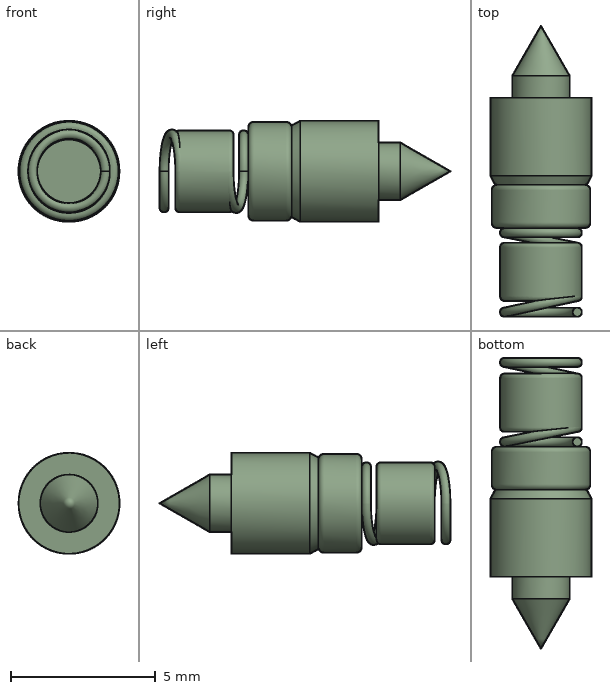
import cadquery as cq

OVERALL_LENGTH = 10.06

PILOT_RADIUS = 1.0
CONE_LENGTH = 1.73
SHANK_RADIUS = 1.75
SHANK_FRONT_Y = 7.58
SHANK_CHAMFER_Y = 4.87
SHANK_CHAMFER_END_RADIUS = 1.59

COLLAR_RADIUS = 1.71
COLLAR_FRONT_Y = 4.57
COLLAR_REAR_Y = 3.07
COLLAR_FILLET = 0.19

WIRE_RADIUS = 0.16
COIL_RADIUS = 1.26
SLEEVE_REAR_Y = 0.54
SLEEVE_FRONT_Y = 2.57
REAR_RING_Y = WIRE_RADIUS
FRONT_RING_Y = COLLAR_REAR_Y - WIRE_RADIUS
SLEEVE_REAR_CENTRE_Y = SLEEVE_REAR_Y + WIRE_RADIUS
SLEEVE_FRONT_CENTRE_Y = SLEEVE_FRONT_Y - WIRE_RADIUS


def revolve_about_y(profile):
    return profile.revolve(360, (0, 0), (0, 1))


def make_point():
    cone_base_y = OVERALL_LENGTH - CONE_LENGTH
    outline = [
        (0, COLLAR_FRONT_Y),
        (SHANK_CHAMFER_END_RADIUS, COLLAR_FRONT_Y),
        (SHANK_RADIUS, SHANK_CHAMFER_Y),
        (SHANK_RADIUS, SHANK_FRONT_Y),
        (PILOT_RADIUS, SHANK_FRONT_Y),
        (PILOT_RADIUS, cone_base_y),
        (0, OVERALL_LENGTH),
    ]
    return revolve_about_y(cq.Workplane("XY").polyline(outline).close())


def make_collar():
    length = COLLAR_FRONT_Y - COLLAR_REAR_Y
    blank = cq.Workplane("XZ", origin=(0, COLLAR_FRONT_Y, 0)).circle(COLLAR_RADIUS).extrude(length)
    return blank.edges("%CIRCLE").fillet(COLLAR_FILLET)


def make_half_coil(left_y, right_y, side):
    """Half-circle of wire between -X (left) and +X (right), on the +Z (1) or -Z (-1) side.

    Unequal left_y and right_y lean the coil.
    """
    rise = right_y - left_y
    middle = (-COIL_RADIUS, -rise / 2)
    axis_end = (middle[0] + side * rise, middle[1] - side * 2 * COIL_RADIUS)
    section = cq.Workplane("XY", origin=(COIL_RADIUS, right_y, 0)).circle(WIRE_RADIUS)
    return section.revolve(180, middle, axis_end)


def make_sleeve():
    """Tube as thick as the wire, with fully rounded ends."""
    inner = COIL_RADIUS - WIRE_RADIUS
    outer = COIL_RADIUS + WIRE_RADIUS
    profile = (
        cq.Workplane("XY")
        .moveTo(outer, SLEEVE_REAR_CENTRE_Y)
        .lineTo(outer, SLEEVE_FRONT_CENTRE_Y)
        .threePointArc((COIL_RADIUS, SLEEVE_FRONT_Y), (inner, SLEEVE_FRONT_CENTRE_Y))
        .lineTo(inner, SLEEVE_REAR_CENTRE_Y)
        .threePointArc((COIL_RADIUS, SLEEVE_REAR_Y), (outer, SLEEVE_REAR_CENTRE_Y))
        .close()
    )
    return revolve_about_y(profile)


def make_spring():
    rear_coil = make_half_coil(REAR_RING_Y, REAR_RING_Y, -1).union(
        make_half_coil(REAR_RING_Y, SLEEVE_REAR_CENTRE_Y, 1)
    )
    front_coil = make_half_coil(FRONT_RING_Y, FRONT_RING_Y, 1).union(
        make_half_coil(FRONT_RING_Y, SLEEVE_FRONT_CENTRE_Y, -1)
    )
    return make_sleeve().union(rear_coil).union(front_coil)


point = make_point()
collar = make_collar()
spring = make_spring()

result = cq.Compound.makeCompound([point.val(), collar.val(), spring.val()])